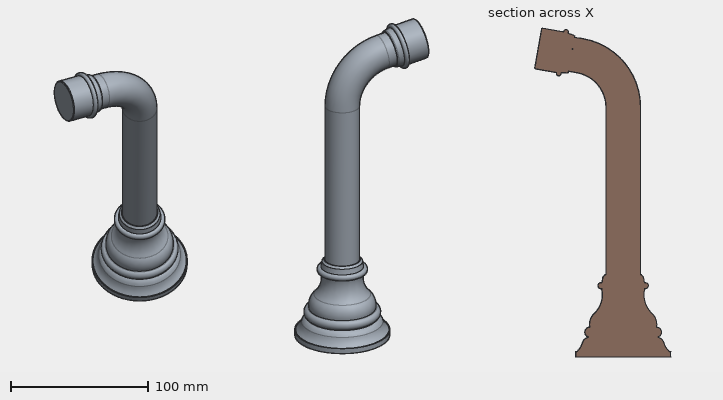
import cadquery as cq
import math

tube_radius = 12.7
elbow_start_height = 182.37
bend_radius = 38.1
bend_angle = 80.0

flange_radius = 34.8
flange_height = 4.0
flare_foot_radius = 34.0
flare_middle_radius = 29.8
flare_middle_height = 10.85
flare_cove_sag = 0.6
flare_top_radius = 26.0
flare_round_sag = 0.5

base_bead_bottom = 14.6
base_bead_top = 21.9
base_bead_radius = 28.1
base_bead_core_radius = 25.2

bell_foot_radius = 24.5
bell_middle_radius = 20.7
bell_middle_height = 32.4
shoulder_sag = 1.5
waist_radius = 15.4
waist_height = 44.0
neck_top_radius = 15.9

collar_bead_bottom = 50.0
collar_bead_top = 54.4
collar_bead_radius = 18.5
collar_foot_radius = 15.6
collar_shoulder_height = 58.6
collar_shoulder_radius = 14.9
collar_top = 60.2
collar_top_radius = 13.3

spout_length = 31.1
spout_radius = 15.2
spout_edge_chamfer = 0.6
ring_start = 6.3
ring_start_radius = 13.7
ring_shoulder = 7.2
ring_shoulder_radius = 14.1
spout_bead_start = 11.3
spout_bead_end = 14.9
spout_bead_radius = 17.2
ring_end_radius = 14.7


def side_plane():
    """Plane through the column axis: local x points to -Y, local y points to +Z."""
    return cq.Workplane(cq.Plane(origin=(0, 0, 0), xDir=(0, -1, 0), normal=(-1, 0, 0)))


def turn(profile):
    """Revolve a closed radius/height profile about the vertical axis."""
    return profile.close().revolve(360, (0, 0), (0, 1))


def add_bead(profile, bottom, top, outer_radius, core_radius):
    """Continue a profile with a rounded bead standing out from its core between two heights."""
    middle = (bottom + top) / 2
    return (
        profile.lineTo(core_radius, bottom)
        .threePointArc((outer_radius, middle), (core_radius, top))
    )


def make_base():
    profile = (
        side_plane()
        .lineTo(flange_radius, 0)
        .lineTo(flange_radius, flange_height)
        .lineTo(flare_foot_radius, flange_height)
        .sagittaArc((flare_middle_radius, flare_middle_height), flare_cove_sag)
        .sagittaArc((flare_top_radius, base_bead_bottom), -flare_round_sag)
    )
    profile = add_bead(profile, base_bead_bottom, base_bead_top, base_bead_radius, base_bead_core_radius)
    profile = (
        profile.lineTo(bell_foot_radius, base_bead_top)
        .sagittaArc((bell_middle_radius, bell_middle_height), -shoulder_sag)
        .threePointArc((waist_radius, waist_height), (neck_top_radius, collar_bead_bottom))
    )
    profile = add_bead(
        profile, collar_bead_bottom, collar_bead_top, collar_bead_radius, collar_foot_radius
    )
    profile = (
        profile.lineTo(collar_shoulder_radius, collar_shoulder_height)
        .lineTo(collar_top_radius, collar_top)
        .lineTo(0, collar_top)
    )
    return turn(profile)


def make_column():
    return cq.Workplane("XY").circle(tube_radius).extrude(elbow_start_height)


def make_elbow():
    """Bend from vertical toward -Y."""
    return (
        cq.Workplane("XY", origin=(0, 0, elbow_start_height))
        .circle(tube_radius)
        .revolve(bend_angle, (0, -bend_radius), (1, -bend_radius))
    )


def make_spout():
    """Spout turned upright, then tilted and moved to the end of the bend."""
    profile = (
        side_plane()
        .lineTo(tube_radius, 0)
        .lineTo(tube_radius, ring_start)
        .lineTo(ring_start_radius, ring_start)
        .lineTo(ring_shoulder_radius, ring_shoulder)
        .lineTo(ring_end_radius, spout_bead_start)
    )
    profile = add_bead(
        profile, spout_bead_start, spout_bead_end, spout_bead_radius, spout_radius
    )
    profile = (
        profile.lineTo(spout_radius, spout_length - spout_edge_chamfer)
        .lineTo(spout_radius - spout_edge_chamfer, spout_length)
        .lineTo(0, spout_length)
    )
    bend = math.radians(bend_angle)
    bend_end = (
        0,
        -bend_radius * (1 - math.cos(bend)),
        elbow_start_height + bend_radius * math.sin(bend),
    )
    return turn(profile).rotate((0, 0, 0), (1, 0, 0), bend_angle).translate(bend_end)


result = make_base().union(make_column()).union(make_elbow()).union(make_spout())